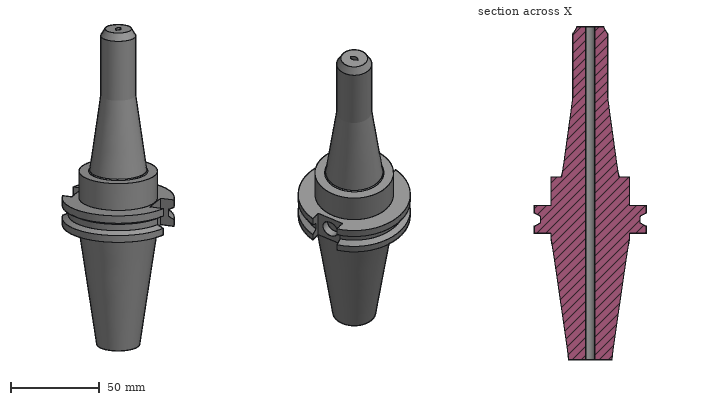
import cadquery as cq

total_length = 188.1
gauge_height = 68.3
flange_bottom = 71.5
flange_thickness = 15.8
flange_top = flange_bottom + flange_thickness
collar_height = 16.0
collar_top = flange_top + collar_height
neck_bottom = 148.5
tip_length = 4.1
step_height = 0.5

taper_slope = 7 / 24
gauge_radius = 22.2
taper_end_radius = gauge_radius - gauge_height * taper_slope / 2
flange_radius = 31.7
groove_radius = 28.5
cone_base_radius = 16.2
step_radius = 16.7
neck_radius = 10.0
tip_radius = 7.5

bore_half_width = 1.41
bore_half_length = 2.54

groove_drop = 0.2
groove_center = flange_bottom + flange_thickness / 2 - groove_drop
groove_floor_width = 3.8
groove_mouth_width = 7.3

slot_width = 16.2
left_floor_distance = 25.0
right_floor_distance = 22.5
dimple_diameter = 9.8
dimple_depth = 4.7


def turned_body():
    """Revolve the outline about Z, from the taper up to the nose."""
    return (
        cq.Workplane("XZ")
        .moveTo(0, 0)
        .lineTo(taper_end_radius, 0)
        .lineTo(gauge_radius, gauge_height)
        .lineTo(gauge_radius, flange_bottom)
        .lineTo(flange_radius, flange_bottom)
        .lineTo(flange_radius, groove_center - groove_mouth_width / 2)
        .lineTo(groove_radius, groove_center - groove_floor_width / 2)
        .lineTo(groove_radius, groove_center + groove_floor_width / 2)
        .lineTo(flange_radius, groove_center + groove_mouth_width / 2)
        .lineTo(flange_radius, flange_top)
        .lineTo(gauge_radius, flange_top)
        .lineTo(gauge_radius, collar_top)
        .lineTo(step_radius, collar_top)
        .lineTo(cone_base_radius, collar_top + step_height)
        .lineTo(neck_radius, neck_bottom)
        .lineTo(neck_radius, total_length - tip_length)
        .lineTo(tip_radius, total_length)
        .lineTo(0, total_length)
        .close()
        .revolve(360, (0, 0, 0), (0, 1, 0))
    )


def drive_slot(side, floor_distance):
    """Block that clears the flange outside floor_distance; side is -1 or +1 along X."""
    depth = flange_radius - floor_distance
    return (
        cq.Workplane("XY")
        .box(depth, slot_width, flange_thickness)
        .translate((side * (floor_distance + depth / 2), 0, flange_bottom + flange_thickness / 2))
    )


def dimple():
    """Blind round hole running in +X from the floor of the left slot."""
    return (
        cq.Workplane("YZ", origin=(-left_floor_distance, 0, flange_bottom + flange_thickness / 2))
        .circle(dimple_diameter / 2)
        .extrude(dimple_depth)
    )


def axial_bore():
    """Through bore bounded by two arcs that meet on the YZ plane."""
    return (
        cq.Workplane("XY")
        .moveTo(0, -bore_half_length)
        .threePointArc((bore_half_width, 0), (0, bore_half_length))
        .threePointArc((-bore_half_width, 0), (0, -bore_half_length))
        .close()
        .extrude(total_length)
    )


result = (
    turned_body()
    .cut(axial_bore())
    .cut(drive_slot(-1, left_floor_distance))
    .cut(drive_slot(1, right_floor_distance))
    .cut(dimple())
)